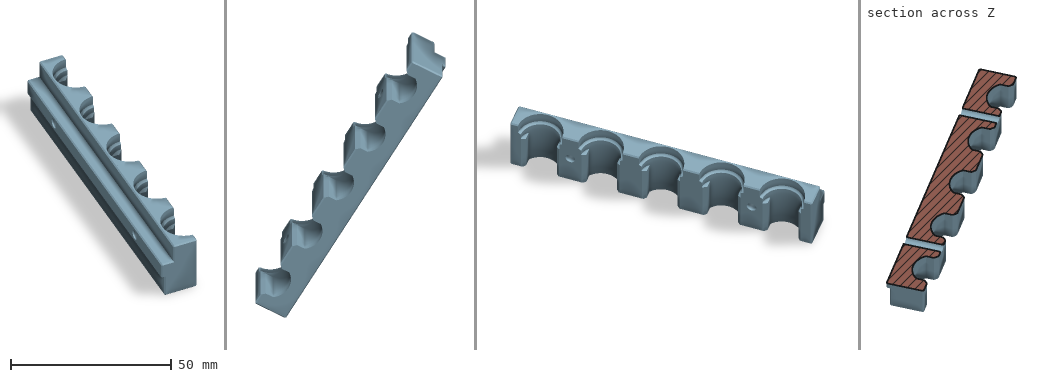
import cadquery as cq
import math

length = 100.0
height = 19.0
upper_depth = 8.1
lower_depth = 11.1
tongue_projection = 1.1
shelf_z = 12.9
tongue_height = 5.6
edge_chamfer = 0.4

seat_count = 5
rim_radius = 7.3
rim_depth = 3.3
seat_radius = 6.4
seat_wall_height = 2.0
lip_gap = 10.2
lip_lead_in = 1.2
ledge_angle = 30.0

hole_diameter = 3.2
hole_spacing = 60.0

full_depth = lower_depth + tongue_projection
tongue_z = shelf_z - tongue_height
hole_z = tongue_z + tongue_height / 2
seat_pitch = length / seat_count
half_gap = lip_gap / 2
ledge_slope = math.tan(math.radians(ledge_angle))
rim_z = height - rim_depth
cone_z = rim_z - (rim_radius - seat_radius) * ledge_slope
lip_top_z = cone_z - seat_wall_height
lip_edge_z = lip_top_z - (seat_radius - half_gap) * ledge_slope


def is_inside_corner(edge):
    """True for the long edges where the tongue meets the front walls."""
    center = edge.Center()
    corners = [(-upper_depth, shelf_z), (-lower_depth, tongue_z)]
    return any(math.dist((center.y, center.z), corner) < edge_chamfer for corner in corners)


def make_body():
    """Stepped rail with chamfered ends and chamfered outside edges."""
    profile = [
        (0, 0),
        (0, height),
        (-upper_depth, height),
        (-upper_depth, shelf_z),
        (-full_depth, shelf_z),
        (-full_depth, tongue_z),
        (-lower_depth, tongue_z),
        (-lower_depth, 0),
    ]
    body = cq.Workplane("YZ").polyline(profile).close().extrude(length)
    outside_edges = body.edges("|X").filter(lambda edge: not is_inside_corner(edge))
    end_edges = body.faces("<X or >X").edges()
    return outside_edges.add(end_edges).chamfer(edge_chamfer)


def make_bore():
    """Wide rim, shallow cone and narrow seat, turned about the Z axis."""
    profile = [
        (0, 0),
        (seat_radius, 0),
        (seat_radius, cone_z),
        (rim_radius, rim_z),
        (rim_radius, height),
        (0, height),
    ]
    return cq.Workplane("XZ").polyline(profile).close().revolve(360, (0, 0), (0, 1))


def make_lip_passage():
    """Space left free by the lips: a slot that widens upwards, bevelled at the back face."""
    right_side = [
        (half_gap, 0),
        (half_gap, lip_edge_z),
        (seat_radius, lip_top_z),
        (rim_radius, lip_top_z),
        (rim_radius, height),
    ]
    left_side = [(-x, z) for x, z in reversed(right_side)]
    slot = cq.Workplane("XZ").polyline(right_side + left_side).close().extrude(rim_radius, both=True)
    bevel_profile = [
        (-half_gap - lip_lead_in, 0),
        (half_gap + lip_lead_in, 0),
        (half_gap, -lip_lead_in),
        (-half_gap, -lip_lead_in),
    ]
    bevel = cq.Workplane("XY").polyline(bevel_profile).close().extrude(height)
    return slot.union(bevel)


def make_holes():
    """Pair of holes along Y through the full depth, symmetric about the middle of the rail."""
    centers = [(length / 2 + side * hole_spacing / 2, hole_z) for side in (-1, 1)]
    return cq.Workplane("XZ").pushPoints(centers).circle(hole_diameter / 2).extrude(full_depth)


seat = make_bore().intersect(make_lip_passage())
result = make_body().cut(make_holes())
for index in range(seat_count):
    seat_x = (index + 0.5) * seat_pitch
    result = result.cut(seat.translate((seat_x, 0, 0)))